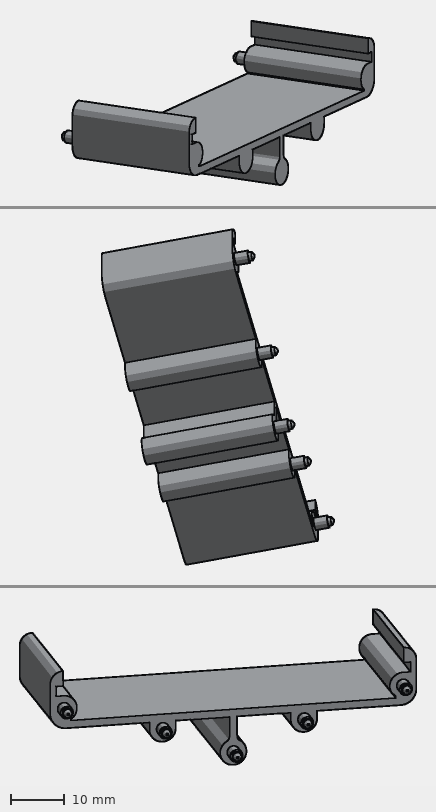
import cadquery as cq


length = 25.0
width = 70.0
half_width = width / 2
height = 11.2
plate_thickness = 1.5
corner_radius = 3.0

wall_thickness = 1.1
lip_width = 2.45
lip_bottom = 8.25
lip_radius = 2.45

boss_radius = 2.5
corner_boss_inset = 2.6
corner_boss_y = half_width - corner_boss_inset
corner_boss_z = 3.85
corner_block_width = 3.9
middle_boss_y = 13.5
middle_boss_z = -1.4
hanging_boss_z = -6.85

stem_width = 1.5
stem_fillet = 1.05

pin_radius = 1.2
pin_length = 2.5
neck_radius = 0.85
neck_length = 0.6
tip_radius = 0.2
tip_length = 0.5

pin_centres = [
    (-corner_boss_y, corner_boss_z),
    (-middle_boss_y, middle_boss_z),
    (0, hanging_boss_z),
    (middle_boss_y, middle_boss_z),
    (corner_boss_y, corner_boss_z),
]


def bar(y_min, y_max, z_min, z_max):
    """Rectangular bar over the full rail length."""
    return (
        cq.Workplane("YZ")
        .center((y_min + y_max) / 2, (z_min + z_max) / 2)
        .rect(y_max - y_min, z_max - z_min)
        .extrude(length)
    )


def boss(y, z):
    """Round boss over the full rail length."""
    return cq.Workplane("YZ").center(y, z).circle(boss_radius).extrude(length)


def tray():
    """Base plate and side walls, cut from one block with rounded outer corners."""
    block = bar(-half_width, half_width, 0, height)
    block = block.edges("|X and <Z").fillet(corner_radius)
    block = block.edges("|X and >Z").fillet(lip_radius)
    lip_y = half_width - lip_width
    wall_y = half_width - wall_thickness
    opening = bar(-lip_y, lip_y, plate_thickness, height)
    undercut = bar(-wall_y, wall_y, corner_boss_z, lip_bottom)
    return block.cut(opening).cut(undercut)


def corner_boss(side):
    """Boss in a lower corner, joined to the wall beside it and the plate below it."""
    outer_y = half_width - wall_thickness
    inner_y = half_width - corner_block_width
    wall_joint = bar(corner_boss_y, outer_y, corner_boss_z, corner_boss_z + boss_radius)
    plate_joint = bar(inner_y, corner_boss_y, plate_thickness, corner_boss_z)
    joined = boss(corner_boss_y, corner_boss_z).union(wall_joint).union(plate_joint)
    return joined if side > 0 else joined.mirror("XZ")


def middle_boss(y):
    """Boss under the plate with straight flanks up to it."""
    flanks = bar(y - boss_radius, y + boss_radius, middle_boss_z, plate_thickness / 2)
    lower_half = boss(y, middle_boss_z).intersect(
        bar(y - boss_radius, y + boss_radius, middle_boss_z - boss_radius, middle_boss_z)
    )
    return lower_half.union(flanks)


def hanging_boss():
    """Boss on a stem under the plate, blended where the stem meets the round."""
    stem = bar(-stem_width / 2, stem_width / 2, hanging_boss_z, plate_thickness / 2)
    hanger = boss(0, hanging_boss_z).union(stem)
    joint_z = hanging_boss_z + (boss_radius**2 - (stem_width / 2) ** 2) ** 0.5
    joint = cq.selectors.BoxSelector(
        (0, -stem_width, joint_z - stem_fillet / 2),
        (length, stem_width, joint_z + stem_fillet / 2),
    )
    return hanger.edges("|X").edges(joint).fillet(stem_fillet)


def pin(y, z):
    """Pin with a narrower neck and a tapered tip, pointing towards -X."""
    neck_end = pin_length + neck_length
    tip_end = neck_end + tip_length
    return (
        cq.Workplane("XY")
        .lineTo(0, pin_radius)
        .lineTo(-pin_length, pin_radius)
        .lineTo(-pin_length, neck_radius)
        .lineTo(-neck_end, neck_radius)
        .lineTo(-tip_end, tip_radius)
        .lineTo(-tip_end, 0)
        .close()
        .revolve(360, (0, 0), (1, 0))
        .translate((0, y, z))
    )


result = tray().union(hanging_boss())
for side in (-1, 1):
    result = result.union(corner_boss(side))
    result = result.union(middle_boss(side * middle_boss_y))
for y, z in pin_centres:
    result = result.union(pin(y, z))